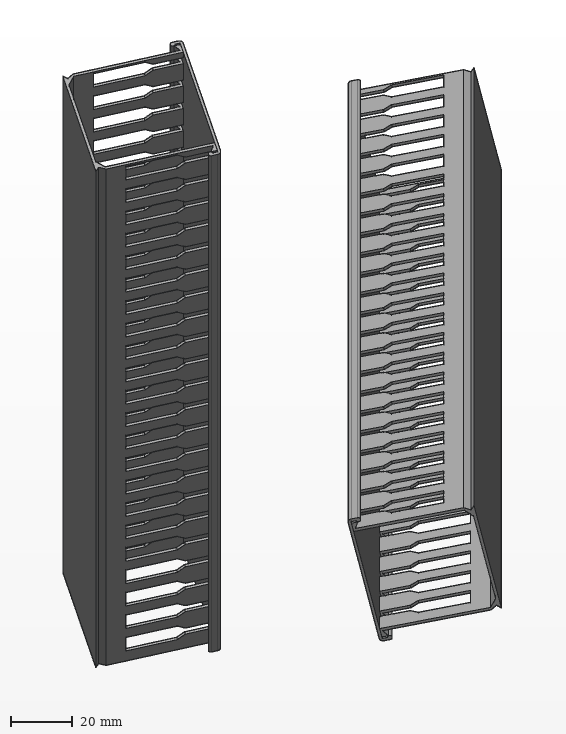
import cadquery as cq

length = 265.0
cover_width = 47.7
total_depth = 41.0
sheet = 1.0

duct_width = 40.0
notch_inset = 1.3
notch_height = 1.3
bevel_top = 3.5
inner_bevel_width = 3.0
inner_bevel_height = 2.5

hook_root_drop = 0.8
hook_tip_drop = 2.0

bead_radius = 0.8
cover_depth = 4.2
cover_radius = 1.3

slot_count = 22
slot_width = 7.2
neck_width = 3.2
slot_start = 10.0
shoulder_start = 27.3
shoulder_end = 30.0
first_slot_z = 9.0
last_slot_z = 260.5
slot_pitch = (last_slot_z - first_slot_z) / (slot_count - 1)

duct_depth = total_depth - sheet
half_duct = duct_width / 2
half_cover = cover_width / 2
inner_wall = half_duct - sheet
hook_tip = half_cover - 2 * bead_radius


def extrude_mirrored(right_side):
    """Extrude the section whose right half is given, mirrored across X = 0."""
    left_side = [(-x, y) for x, y in reversed(right_side)]
    return cq.Workplane("XY").polyline(right_side + left_side).close().extrude(length)


def make_channel():
    """U-shaped channel with notched lower corners and hooked wall tops."""
    right_side = [
        (half_duct, 0),
        (half_duct - notch_inset, notch_height),
        (half_duct, bevel_top),
        (half_duct, duct_depth - hook_root_drop),
        (hook_tip, duct_depth - hook_tip_drop),
        (hook_tip, duct_depth),
        (inner_wall, duct_depth),
        (inner_wall, sheet + inner_bevel_height),
        (inner_wall - inner_bevel_width, sheet),
    ]
    return extrude_mirrored(right_side)


def make_slot(middle_z):
    """Bottle-shaped cutter through both walls, open at the wall tops."""
    half_slot = slot_width / 2
    half_neck = neck_width / 2
    return (
        cq.Workplane("YZ", origin=(-half_cover, 0, middle_z))
        .moveTo(slot_start, -half_slot)
        .lineTo(shoulder_start, -half_slot)
        .lineTo(shoulder_end, -half_neck)
        .lineTo(duct_depth, -half_neck)
        .lineTo(duct_depth, half_neck)
        .lineTo(shoulder_end, half_neck)
        .lineTo(shoulder_start, half_slot)
        .lineTo(slot_start, half_slot)
        .close()
        .extrude(cover_width)
    )


def make_duct():
    """Channel with a row of slots through both walls."""
    duct = make_channel()
    for index in range(slot_count):
        duct = duct.cut(make_slot(first_slot_z + index * slot_pitch))
    return duct


def make_cover():
    """Flat cover with thin lips that end in round beads beside the hooks."""
    bead_y = total_depth - cover_depth + bead_radius
    bead_x = half_cover - bead_radius
    right_side = [
        (half_cover, total_depth),
        (half_cover, bead_y),
        (half_cover - sheet, bead_y),
        (half_cover - sheet, duct_depth),
    ]
    beads = (
        cq.Workplane("XY")
        .pushPoints([(-bead_x, bead_y), (bead_x, bead_y)])
        .circle(bead_radius)
        .extrude(length)
    )
    return extrude_mirrored(right_side).edges("|Z and >Y").fillet(cover_radius).union(beads)


duct = make_duct()
cover = make_cover()
result = cq.Compound.makeCompound([duct.val(), cover.val()])